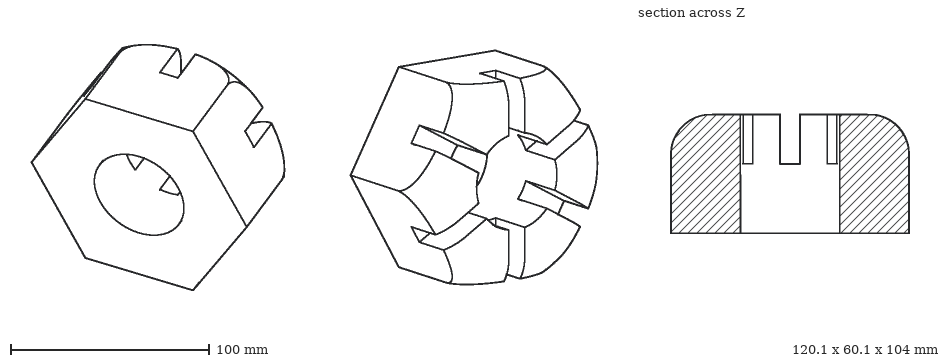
import cadquery as cq

across_corners = 120.1
height = across_corners / 2
bore_diameter = 50.0
crown_radius = 20.0
slot_width = 10.0
slot_depth = 25.0
side_count = 6

corner_radius = across_corners / 2
side_angle = 360 / side_count
top_y = height / 2


def hexagon_body():
    """Plain hexagonal prism with two corners on the X axis."""
    profile = cq.Workplane("XZ", origin=(0, top_y, 0)).polygon(side_count, across_corners)
    return profile.extrude(height)


def crown_envelope():
    """Round blank whose filleted end trims the corners of the hexagon."""
    blank = cq.Workplane("XZ", origin=(0, top_y, 0)).circle(corner_radius).extrude(height)
    return blank.faces(">Y").edges().fillet(crown_radius)


def bore():
    return cq.Workplane("XZ", origin=(0, top_y, 0)).circle(bore_diameter / 2).extrude(height)


def slot(angle):
    """Slot across the nut, centred on two opposite flats."""
    cutter = cq.Workplane("XY").box(slot_width, slot_depth, across_corners)
    cutter = cutter.translate((0, top_y - slot_depth / 2, 0))
    return cutter.rotate((0, 0, 0), (0, 1, 0), angle)


nut = hexagon_body().intersect(crown_envelope()).cut(bore())
for index in range(side_count // 2):
    nut = nut.cut(slot(index * side_angle))

result = nut